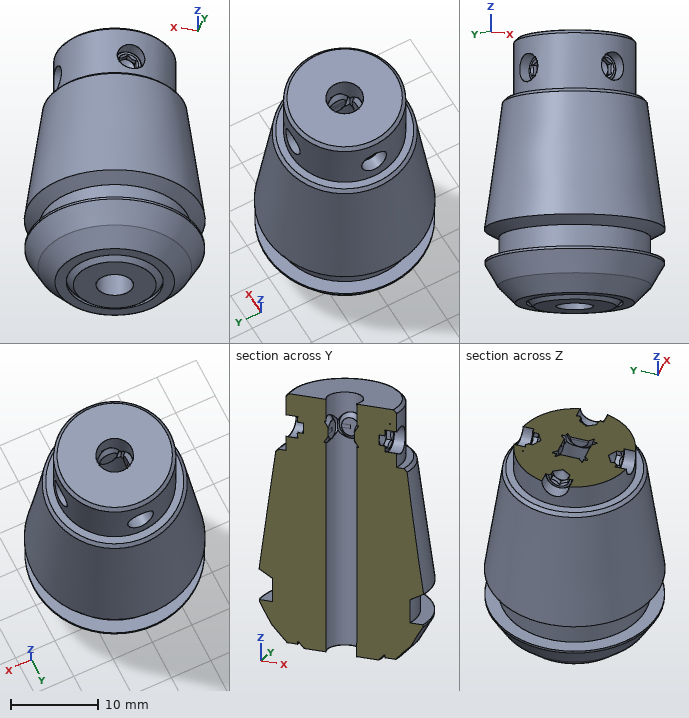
import cadquery as cq

total_height = 31.0
shoulder_z = 24.0
skirt_bottom_z = 8.93
groove_top_z = 8.0
groove_bottom_z = 5.2
rim_bottom_z = 4.93
base_bend_z = 2.35
base_z = 0.4

neck_diameter = 14.0
shoulder_diameter = 16.62
skirt_diameter = 20.75
groove_diameter = 17.4
rim_diameter = 20.6
base_bend_diameter = 17.6
base_diameter = 13.7
edge_chamfer = 0.4

plug_diameter = 11.1
plug_chamfer = 0.8

bore_diameter = 4.28

screw_count = 4
screw_diameter = 3.25
screw_length = 3.9
screw_z = 27.0
screw_tip_gap = 3.22
screw_tip_chamfer = 0.53
screw_head_chamfer = 0.1
socket_mouth_diameter = 2.5
socket_across_flats = 2.0
socket_depth = 0.78
socket_cone_depth = 0.62


def make_body():
    """Revolve the stepped and tapered outline, including the chamfered plug."""
    plug_radius = plug_diameter / 2
    half_profile = [
        (0, 0),
        (plug_radius - plug_chamfer, 0),
        (plug_radius, plug_chamfer),
        (plug_radius, base_z),
        (base_diameter / 2, base_z),
        (base_bend_diameter / 2, base_bend_z),
        (rim_diameter / 2, rim_bottom_z),
        (rim_diameter / 2, groove_bottom_z),
        (groove_diameter / 2, groove_bottom_z),
        (groove_diameter / 2, groove_top_z),
        (skirt_diameter / 2, skirt_bottom_z),
        (shoulder_diameter / 2, shoulder_z - edge_chamfer),
        (shoulder_diameter / 2 - edge_chamfer, shoulder_z),
        (neck_diameter / 2, shoulder_z),
        (neck_diameter / 2, total_height - edge_chamfer),
        (neck_diameter / 2 - edge_chamfer, total_height),
        (0, total_height),
    ]
    return cq.Workplane("XZ").polyline(half_profile).close().revolve(360, (0, 0), (0, 1))


def make_bore():
    return cq.Workplane("XY").circle(bore_diameter / 2).extrude(total_height)


def make_screw_hole():
    """Radial hole along +X from the axis out through the neck."""
    return (
        cq.Workplane("YZ")
        .center(0, screw_z)
        .circle(screw_diameter / 2)
        .extrude(neck_diameter / 2)
    )


def make_socket(head_x):
    """Countersunk hex socket along X with a conical floor, opening at head_x."""
    mouth_radius = socket_mouth_diameter / 2
    inner_radius = socket_across_flats / 2
    half_profile = [
        (head_x, 0),
        (head_x, mouth_radius),
        (head_x - (mouth_radius - inner_radius), inner_radius),
        (head_x - socket_depth, inner_radius),
        (head_x - socket_depth - socket_cone_depth, 0),
    ]
    round_part = cq.Workplane("XY").polyline(half_profile).close().revolve(360, (0, 0), (1, 0))
    hexagon = (
        cq.Workplane("YZ", origin=(head_x, 0, 0))
        .polygon(6, socket_across_flats, circumscribed=True)
        .extrude(-socket_depth)
    )
    return round_part.union(hexagon)


def make_screw():
    """Set screw along +X with chamfered ends and a hex socket in its outer end."""
    screw = (
        cq.Workplane("YZ", origin=(screw_tip_gap / 2, 0, 0))
        .circle(screw_diameter / 2)
        .extrude(screw_length)
        .faces("<X")
        .chamfer(screw_tip_chamfer)
        .faces(">X")
        .chamfer(screw_head_chamfer)
    )
    socket = make_socket(screw_tip_gap / 2 + screw_length)
    return screw.cut(socket).translate((0, 0, screw_z))


result = make_body().cut(make_bore())

for index in range(screw_count):
    angle = index * 360 / screw_count
    hole = make_screw_hole().rotate((0, 0, 0), (0, 0, 1), angle)
    screw = make_screw().rotate((0, 0, 0), (0, 0, 1), angle)
    result = result.cut(hole).union(screw)